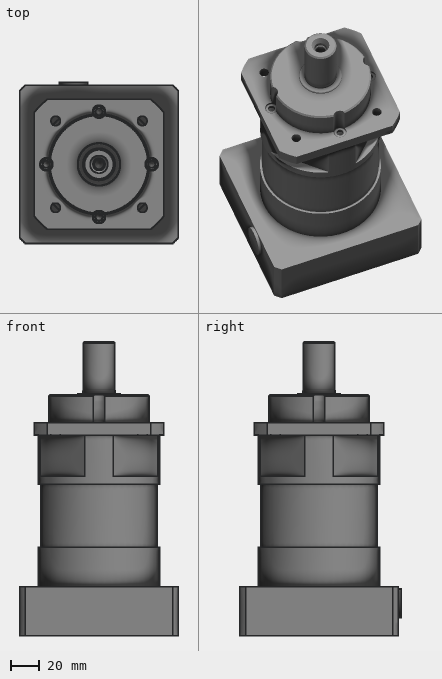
import cadquery as cq
import math

TOTAL_HEIGHT = 204.0
BASE_TOP = 34.3
LOWER_BODY_TOP = 61.6
MIDDLE_BODY_TOP = 105.1
FLAT_BOTTOM = 110.8
FLANGE_BOTTOM = 139.5
FLANGE_TOP = 148.0
PILOT_TOP = 167.2

BASE_WIDTH = 110.0
BASE_CORNER_DIAMETER = 150.0

PLUG_DIAMETER = 20.0
PLUG_HEIGHT = 2.0
PLUG_X = -17.8
PLUG_Z = 22.7

BODY_DIAMETER = 84.0
MIDDLE_BODY_DIAMETER = 81.0
FLATS_ACROSS = 71.8

FLANGE_WIDTH = 90.0
FLANGE_CORNER_DIAMETER = 115.1
MOUNT_HOLE_DIAMETER = 6.5
MOUNT_CIRCLE_DIAMETER = 85.1

PILOT_DIAMETER = 70.0
PILOT_CHAMFER = 1.0
SCREW_CIRCLE_DIAMETER = 73.0
SCREW_POCKET_DIAMETER = 9.0
SCREW_POCKET_DEPTH = 1.5
SCREW_HEAD_DIAMETER = 8.4
SCREW_HEAD_HEIGHT = 0.8
SCREW_HEAD_CHAMFER = 0.5
SOCKET_DIAMETER = 5.0
SOCKET_DEPTH = 2.5

SHAFT_DIAMETER = 22.0
SHAFT_CHAMFER = 1.0
COLLAR_DIAMETER = 29.8
COLLAR_HEIGHT = 1.0
COLLAR_CHAMFER = 0.5
SEAL_LAND_DIAMETER = 22.5
SEAL_LAND_TOP = 169.5
SEAL_CONE_TOP = 170.6
CENTRE_SINK_DIAMETER = 12.2
CENTRE_BORE_DIAMETER = 8.4
CENTRE_BORE_DEPTH = 6.0
CENTRE_DRILL_DIAMETER = 6.7
CENTRE_DRILL_DEPTH = 25.1
DRILL_TIP_HALF_ANGLE = 60.0
SINK_HALF_ANGLE = 30.0

QUARTER_TURNS = [0, 90, 180, 270]


def cylinder(diameter, bottom, top):
    return cq.Workplane("XY").workplane(offset=bottom).circle(diameter / 2).extrude(top - bottom)


def turned_square(width, corner_diameter, bottom, top):
    """Square plate whose corners are rounded off by one large circle."""
    square = cq.Workplane("XY").workplane(offset=bottom).rect(width, width).extrude(top - bottom)
    return square.intersect(cylinder(corner_diameter, bottom, top))


def revolved(profile):
    """Solid of revolution about Z from a list of (radius, height) points."""
    return cq.Workplane("XZ").polyline(profile).close().revolve(360, (0, 0, 0), (0, 1, 0))


def pointed_hole(diameter, depth, top):
    """Blind drilled hole with a conical tip below its full-diameter depth."""
    radius = diameter / 2
    tip_length = radius / math.tan(math.radians(DRILL_TIP_HALF_ANGLE))
    profile = [(0, top), (radius, top), (radius, top - depth), (0, top - depth - tip_length)]
    return revolved(profile)


def at_screws(tool):
    """Four copies of a centred shape, on the screw circle along X and Y."""
    moved = tool.translate((SCREW_CIRCLE_DIAMETER / 2, 0, 0))
    copies = cq.Workplane("XY")
    for angle in QUARTER_TURNS:
        copies = copies.add(moved.rotate((0, 0, 0), (0, 0, 1), angle))
    return copies.combine()


def make_base():
    base = turned_square(BASE_WIDTH, BASE_CORNER_DIAMETER, 0, BASE_TOP)
    plug = (
        cq.Workplane("XZ", origin=(PLUG_X, BASE_WIDTH / 2, PLUG_Z))
        .circle(PLUG_DIAMETER / 2)
        .extrude(-PLUG_HEIGHT)
    )
    return base.union(plug)


def make_body():
    lower = cylinder(BODY_DIAMETER, BASE_TOP, LOWER_BODY_TOP)
    middle = cylinder(MIDDLE_BODY_DIAMETER, LOWER_BODY_TOP, MIDDLE_BODY_TOP)
    upper = cylinder(BODY_DIAMETER, MIDDLE_BODY_TOP, FLANGE_BOTTOM)
    flat_height = FLANGE_BOTTOM - FLAT_BOTTOM
    flats_core = (
        cq.Workplane("XY")
        .workplane(offset=FLAT_BOTTOM)
        .rect(FLATS_ACROSS, FLATS_ACROSS)
        .extrude(flat_height)
        .rotate((0, 0, 0), (0, 0, 1), 45)
    )
    rim = cylinder(BODY_DIAMETER, MIDDLE_BODY_TOP, FLAT_BOTTOM)
    return lower.union(middle).union(rim).union(upper.intersect(flats_core))


def make_flange():
    flange = turned_square(FLANGE_WIDTH, FLANGE_CORNER_DIAMETER, FLANGE_BOTTOM, FLANGE_TOP)
    holes = (
        cq.Workplane("XY")
        .workplane(offset=FLANGE_BOTTOM)
        .polarArray(MOUNT_CIRCLE_DIAMETER / 2, 45, 360, len(QUARTER_TURNS))
        .circle(MOUNT_HOLE_DIAMETER / 2)
        .extrude(FLANGE_TOP - FLANGE_BOTTOM)
    )
    return flange.cut(holes)


def make_pilot():
    pilot = cylinder(PILOT_DIAMETER, FLANGE_TOP, PILOT_TOP).faces(">Z").chamfer(PILOT_CHAMFER)
    collar = cylinder(COLLAR_DIAMETER, PILOT_TOP, PILOT_TOP + COLLAR_HEIGHT)
    return pilot.union(collar.faces(">Z").chamfer(COLLAR_CHAMFER))


def make_shaft():
    """Shaft that widens through a short cone to the seal land at its foot."""
    shaft_radius = SHAFT_DIAMETER / 2
    land_radius = SEAL_LAND_DIAMETER / 2
    profile = [
        (0, PILOT_TOP),
        (land_radius, PILOT_TOP),
        (land_radius, SEAL_LAND_TOP),
        (shaft_radius, SEAL_CONE_TOP),
        (shaft_radius, TOTAL_HEIGHT - SHAFT_CHAMFER),
        (shaft_radius - SHAFT_CHAMFER, TOTAL_HEIGHT),
        (0, TOTAL_HEIGHT),
    ]
    return revolved(profile)


def make_centre_hole():
    sink_depth = (CENTRE_SINK_DIAMETER - CENTRE_BORE_DIAMETER) / 2 / math.tan(math.radians(SINK_HALF_ANGLE))
    sink = (
        cq.Workplane("XY")
        .workplane(offset=TOTAL_HEIGHT)
        .circle(CENTRE_SINK_DIAMETER / 2)
        .extrude(-sink_depth, taper=SINK_HALF_ANGLE)
    )
    bore = cylinder(CENTRE_BORE_DIAMETER, TOTAL_HEIGHT - CENTRE_BORE_DEPTH, TOTAL_HEIGHT)
    drill = pointed_hole(CENTRE_DRILL_DIAMETER, CENTRE_DRILL_DEPTH, TOTAL_HEIGHT)
    return sink.union(bore).union(drill)


pocket_bottom = FLANGE_TOP - SCREW_POCKET_DEPTH
head_top = pocket_bottom + SCREW_HEAD_HEIGHT
screw_pocket = cylinder(SCREW_POCKET_DIAMETER, pocket_bottom, PILOT_TOP)
screw_head = cylinder(SCREW_HEAD_DIAMETER, pocket_bottom, head_top).faces(">Z").chamfer(SCREW_HEAD_CHAMFER)
screw_socket = pointed_hole(SOCKET_DIAMETER, SOCKET_DEPTH, head_top)

result = (
    make_base()
    .union(make_body())
    .union(make_flange())
    .union(make_pilot())
    .union(make_shaft())
    .cut(make_centre_hole())
    .cut(at_screws(screw_pocket))
    .union(at_screws(screw_head))
    .cut(at_screws(screw_socket))
)